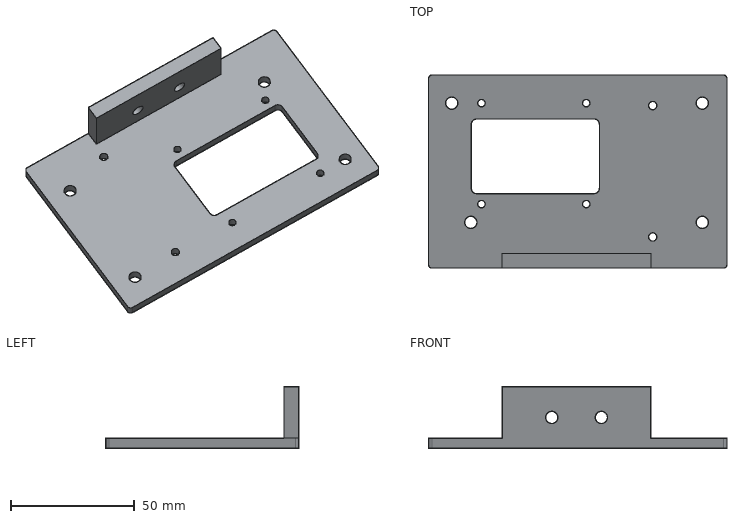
import cadquery as cq

plate_length = 120.6
plate_width = 78.0
plate_thickness = 4.2
plate_corner_radius = 1.5

flange_length = 60.0
flange_thickness = 6.0
flange_top = 25.0
flange_center_x = -0.5
flange_hole_spacing = 20.0
flange_hole_height = 12.5

window_length = 51.6
window_width = 30.0
window_center_x = -17.1
window_center_y = 6.2
window_corner_radius = 2.0

mount_hole_diameter = 4.8
medium_hole_diameter = 3.3
small_hole_diameter = 2.9

mount_right_x = 50.3
mount_upper_left_x = -50.9
mount_lower_left_x = -43.2
mount_upper_y = 27.6
mount_lower_y = -20.5
mount_hole_points = [
    (mount_upper_left_x, mount_upper_y),
    (mount_right_x, mount_upper_y),
    (mount_lower_left_x, mount_lower_y),
    (mount_right_x, mount_lower_y),
]

small_hole_spacing_x = 42.3
small_hole_spacing_y = 40.8
small_hole_center_x = -17.7
small_hole_center_y = 7.2
small_hole_points = [
    (small_hole_center_x + side_x * small_hole_spacing_x / 2,
     small_hole_center_y + side_y * small_hole_spacing_y / 2)
    for side_x in (-1, 1)
    for side_y in (-1, 1)
]

medium_hole_x = 30.3
medium_hole_spacing = 53.1
medium_hole_center_y = 0.1
medium_hole_points = [
    (medium_hole_x, medium_hole_center_y + side * medium_hole_spacing / 2)
    for side in (-1, 1)
]


def rounded_block(length, width, height, radius):
    """Block standing on Z = 0 with rounded vertical edges."""
    block = cq.Workplane("XY").box(length, width, height, centered=(True, True, False))
    return block.edges("|Z").fillet(radius)


def plate_holes(points, diameter):
    """Cylinders through the plate thickness at the given points."""
    return cq.Workplane("XY").pushPoints(points).circle(diameter / 2).extrude(plate_thickness)


def make_plate():
    """Rounded plate with its window and all vertical holes."""
    plate = rounded_block(plate_length, plate_width, plate_thickness, plate_corner_radius)
    window = rounded_block(window_length, window_width, plate_thickness, window_corner_radius)
    plate = plate.cut(window.translate((window_center_x, window_center_y, 0)))
    plate = plate.cut(plate_holes(mount_hole_points, mount_hole_diameter))
    plate = plate.cut(plate_holes(medium_hole_points, medium_hole_diameter))
    return plate.cut(plate_holes(small_hole_points, small_hole_diameter))


def make_flange():
    """Upright flange, flush with the -Y plate edge, with two holes through it along Y."""
    front_y = -plate_width / 2
    flange = (
        cq.Workplane("XY")
        .box(flange_length, flange_thickness, flange_top, centered=(True, False, False))
        .translate((flange_center_x, front_y, 0))
    )
    hole_points = [
        (flange_center_x + side * flange_hole_spacing / 2, flange_hole_height)
        for side in (-1, 1)
    ]
    holes = (
        cq.Workplane("XZ", origin=(0, front_y, 0))
        .pushPoints(hole_points)
        .circle(mount_hole_diameter / 2)
        .extrude(-flange_thickness)
    )
    return flange.cut(holes)


result = make_plate().union(make_flange())